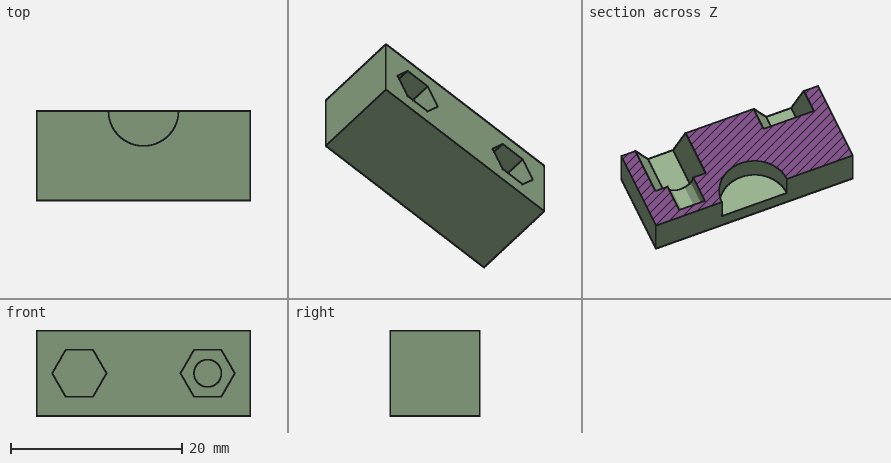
import cadquery as cq
import math

length = 25.0
depth = 10.5
height = 10.0

rod_diameter = 8.2
recess_floor = 2.0

pocket_spacing = 15.0
nut_across_flats = 5.5
nut_across_corners = nut_across_flats / math.cos(math.pi / 6)
left_pocket_depth = 3.0
right_pocket_depth = 6.0

screw_diameter = 3.2
screw_back_wall = 1.0


def front_plane(x):
    """Workplane on the front face at the given X; negative extrusions enter the block."""
    return cq.Workplane("XZ", origin=(x, -depth, 0))


def nut_pocket(x, pocket_depth):
    """Hexagonal prism sunk into the front face, with two corners pointing along X."""
    return front_plane(x).polygon(6, nut_across_corners).extrude(-pocket_depth)


def screw_hole(x):
    """Round hole from the front face, stopping short of the back face."""
    return front_plane(x).circle(screw_diameter / 2).extrude(screw_back_wall - depth)


def rod_recess():
    """Vertical cylinder centred on the back edge, from the top face down to the recess floor."""
    top_plane = cq.Workplane("XY", origin=(0, 0, height / 2))
    return top_plane.circle(rod_diameter / 2).extrude(recess_floor - height)


right_x = pocket_spacing / 2
left_x = -right_x

block = cq.Workplane("XY").box(length, depth, height).translate((0, -depth / 2, 0))
result = (
    block.cut(rod_recess())
    .cut(nut_pocket(left_x, left_pocket_depth))
    .cut(nut_pocket(right_x, right_pocket_depth))
    .cut(screw_hole(right_x))
)